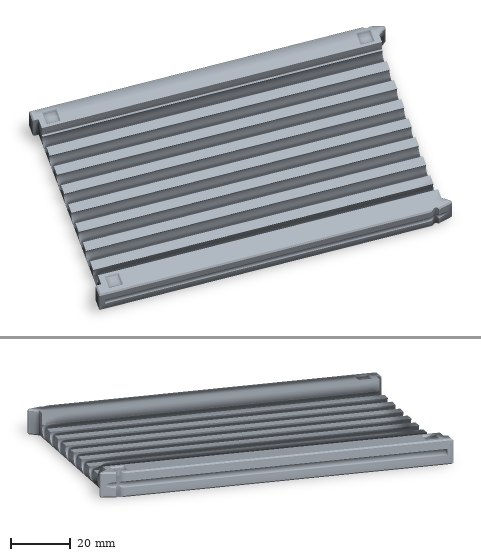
import math

import cadquery as cq

width = 80.0
height = 9.0
plate_length = 120.22
tab_length = 2.0
tab_width = 4.25
hook_length = 3.0
edge_chamfer = 0.5

rail_width = 8.1
floor_height = 5.0
groove_count = 8
groove_pitch = 8.25
groove_radius = 2.7
groove_axis_height = 3.5

hook_root_inset = 4.85
tip_inset = 1.55
tip_width = 1.3
tip_rounding = 0.5
barb_inset = 0.25
barb_setback = 5.15
notch_inset = 1.1
notch_setback = 6.1
notch_end_inset = 0.8
notch_end_setback = 6.9
ramp_middle_inset = 0.22
ramp_middle_setback = 7.65
ramp_end_setback = 8.6
taper_setback = 6.1

side_groove_radius = 1.13

socket_size = 5.0
socket_depth = 0.5
socket_taper_angle = 45.0
socket_inset = 4.5
front_socket_distance = 4.5
back_socket_distance = 4.8

half_width = width / 2
plate_front = -plate_length / 2
plate_back = plate_length / 2
tab_front = plate_front - tab_length
hook_tip = plate_back + hook_length


def hook_corner(inset, setback):
    """Point on the left hook, measured in from the side face and back from the hook tip."""
    return (-half_width + inset, hook_tip - setback)


def make_body():
    """Full-height block with two front tabs and two rear hooks, without the snap notches."""
    left_half = (
        cq.Workplane("XY")
        .moveTo(0, plate_front)
        .lineTo(-half_width + tab_width, plate_front)
        .lineTo(-half_width + tab_width, tab_front)
        .lineTo(-half_width, tab_front)
        .lineTo(*hook_corner(0, taper_setback))
        .lineTo(*hook_corner(tip_inset, tip_rounding))
        .threePointArc(
            hook_corner(tip_inset + tip_width / 2, 0),
            hook_corner(tip_inset + tip_width, tip_rounding),
        )
        .lineTo(*hook_corner(hook_root_inset, hook_length))
        .lineTo(0, plate_back)
    )
    return left_half.mirrorY().extrude(height)


def chamfer_rims(body):
    """Chamfer the top and bottom rims, except along the plate-end tops and the tab inner sides."""
    def is_chamfered(edge):
        centre = edge.Center()
        plate_end_top = abs(centre.x) < half_width - hook_root_inset and centre.z > floor_height
        tab_side = tab_front < centre.y < plate_front and abs(centre.x) < half_width - tab_width / 2
        tab_end = abs(centre.y - tab_front) < edge_chamfer
        return tab_end or not (plate_end_top or tab_side)

    rims = body.faces("<Z or >Z").edges().filter(is_chamfered)
    return body.newObject(rims.vals()).chamfer(edge_chamfer)


def cut_snap_notches(body):
    """Cut the concave notch behind each barb, with its rounded ramp back to the side face."""
    notch = (
        cq.Workplane("XY")
        .moveTo(*hook_corner(0, ramp_end_setback))
        .threePointArc(
            hook_corner(ramp_middle_inset, ramp_middle_setback),
            hook_corner(notch_end_inset, notch_end_setback),
        )
        .threePointArc(
            hook_corner(notch_inset, notch_setback),
            hook_corner(barb_inset, barb_setback),
        )
        .lineTo(*hook_corner(-barb_inset, barb_setback))
        .lineTo(*hook_corner(-barb_inset, ramp_end_setback))
        .close()
        .extrude(height)
    )
    return body.cut(notch).cut(notch.mirror("YZ"))


def cut_floor(body):
    """Lower the area between the rails and cut the round grooves into it."""
    channel = (
        cq.Workplane("XY", origin=(0, 0, floor_height))
        .rect(width - 2 * rail_width, plate_length)
        .extrude(height)
    )
    half_opening = math.sqrt(groove_radius**2 - (floor_height - groove_axis_height) ** 2)
    first_groove = -(groove_count - 1) * groove_pitch / 2
    groove_bottom = groove_axis_height - groove_radius
    body = body.cut(channel)
    for i in range(groove_count):
        x = first_groove + i * groove_pitch
        groove = (
            cq.Workplane("XZ", origin=(x, plate_back, 0))
            .moveTo(-half_opening, floor_height)
            .threePointArc((0, groove_bottom), (half_opening, floor_height))
            .close()
            .extrude(plate_length)
        )
        body = body.cut(groove)
    return body


def cut_side_grooves(body):
    """Cut a half-round groove along each side, from the plate front out through the hook."""
    grooves = (
        cq.Workplane("XZ", origin=(0, plate_front, 0))
        .pushPoints([(-half_width, height / 2), (half_width, height / 2)])
        .circle(side_groove_radius)
        .extrude(plate_front - hook_tip)
    )
    return body.cut(grooves)


def cut_sockets(body):
    """Cut the tapered square sockets at three of the four corners."""
    x = half_width - socket_inset
    front = plate_front + front_socket_distance
    back = plate_back - back_socket_distance
    sockets = (
        cq.Workplane("XY", origin=(0, 0, height))
        .pushPoints([(-x, front), (x, front), (-x, back)])
        .rect(socket_size, socket_size)
        .extrude(-socket_depth, taper=socket_taper_angle)
    )
    return body.cut(sockets)


result = make_body()
result = chamfer_rims(result)
result = cut_snap_notches(result)
result = cut_floor(result)
result = cut_side_grooves(result)
result = cut_sockets(result)